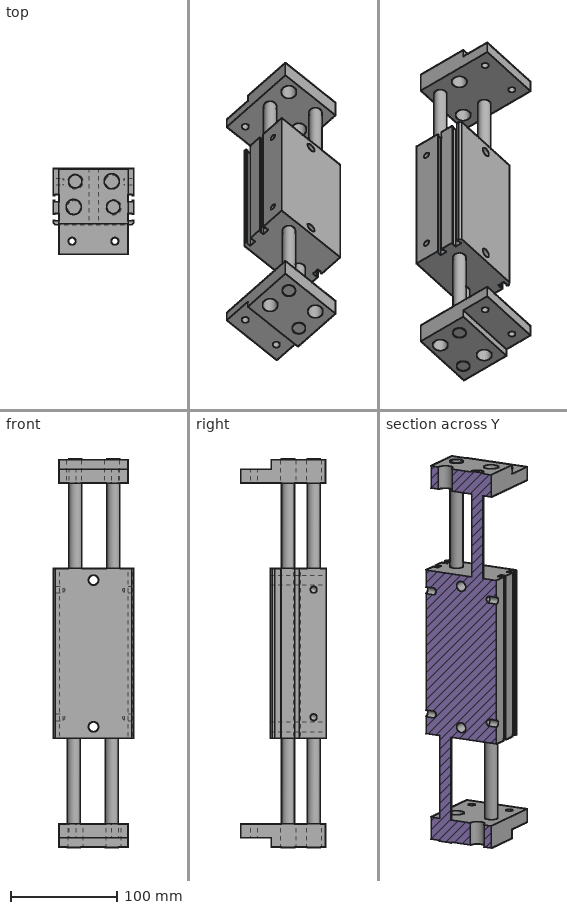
import cadquery as cq
import math

body_width = 76.0
body_depth = 53.0
body_height = 160.0
corner_chamfer = 2.2

side_slots = [(27.8, 4.5), (45.8, 5.5)]
slot_pocket_width = 6.5
slot_lip = 2.0
slot_depth = 6.0

mount_hole_diameter = 9.0
mount_hole_spacing = 138.0

side_hole_diameter = 6.2
side_hole_spacing = 120.0
side_hole_depth = 9.0
drill_point_angle = 118

plate_width = 65.0
plate_back = 0.7
block_front = 52.0
plate_front = 81.0
plate_thickness = 22
flange_thickness = 13.0
plate_hole_diameter = 6.5
plate_hole_spacing = 40.3
plate_hole_front_offset = 12.5

rod_diameter = 12.5
rod_clearance_diameter = 14.3
back_rod_y = -12.0
front_rod_y = -36.2
upper_rods = [(-17.2, back_rod_y), (18.5, front_rod_y)]
lower_rods = [(-x, y) for x, y in upper_rods]
rod_overhang = 0.7

rod_seat = 11
rod_seat_z = body_height / 2 - rod_seat

total_height = 366
rod_end_z = total_height / 2
plate_outer_z = rod_end_z - rod_overhang


def make_body():
    """Extruded body with two chamfered front corners."""
    block = cq.Workplane("XY").box(body_width, body_depth, body_height).translate((0, -body_depth / 2, 0))
    return block.faces("<Y").edges("|Z").chamfer(corner_chamfer)


def side_slot_cutter(side, distance, opening):
    """T-slot running the full body height on the side given by the sign of X."""
    outer_x = side * body_width / 2
    mouth = cq.Workplane("XY").box(2 * slot_depth, opening, body_height)
    pocket_length = slot_depth - slot_lip
    pocket = cq.Workplane("XY").box(pocket_length, slot_pocket_width, body_height)
    pocket = pocket.translate((-side * (slot_lip + pocket_length / 2), 0, 0))
    return mouth.union(pocket).translate((outer_x, -distance, 0))


def side_hole_cutter(side, z):
    """Blind hole with a conical drill point, drilled inward along X."""
    radius = side_hole_diameter / 2
    point_length = radius / math.tan(math.radians(drill_point_angle / 2))
    start = cq.Vector(side * body_width / 2, back_rod_y, z)
    inward = cq.Vector(-side, 0, 0)
    bore = cq.Solid.makeCylinder(radius, side_hole_depth, start, inward)
    point = cq.Solid.makeCone(radius, 0, point_length, start + inward * side_hole_depth, inward)
    return cq.Workplane(bore.fuse(point))


def make_upper_plate(clearance_points):
    """Stepped upper end plate with two small holes and clearance holes for the opposite rods."""
    inner_z = plate_outer_z - plate_thickness
    profile = [
        (-plate_back, inner_z),
        (-plate_front, inner_z),
        (-plate_front, inner_z + flange_thickness),
        (-block_front, inner_z + flange_thickness),
        (-block_front, plate_outer_z),
        (-plate_back, plate_outer_z),
    ]
    plate = cq.Workplane("YZ").polyline(profile).close().extrude(plate_width / 2, both=True)
    hole_y = plate_hole_front_offset - plate_front
    small_points = [(-plate_hole_spacing / 2, hole_y), (plate_hole_spacing / 2, hole_y)]
    base = cq.Workplane("XY").workplane(offset=inner_z)
    small_holes = base.pushPoints(small_points).circle(plate_hole_diameter / 2).extrude(plate_thickness)
    clearance = base.pushPoints(clearance_points).circle(rod_clearance_diameter / 2).extrude(plate_thickness)
    return plate.cut(small_holes).cut(clearance)


def make_rods(points, start_z, end_z):
    """Pair of rods along Z."""
    base = cq.Workplane("XY").workplane(offset=start_z)
    return base.pushPoints(points).circle(rod_diameter / 2).extrude(end_z - start_z)


body = make_body()
for side in (-1, 1):
    for distance, opening in side_slots:
        body = body.cut(side_slot_cutter(side, distance, opening))
    for z in (-side_hole_spacing / 2, side_hole_spacing / 2):
        body = body.cut(side_hole_cutter(side, z))

mount_holes = (
    cq.Workplane("XZ")
    .pushPoints([(0, -mount_hole_spacing / 2), (0, mount_hole_spacing / 2)])
    .circle(mount_hole_diameter / 2)
    .extrude(body_depth)
)
body = body.cut(mount_holes)

upper_plate = make_upper_plate(lower_rods)
lower_plate = make_upper_plate(upper_rods).mirror("XY")

result = (
    body.union(upper_plate)
    .union(lower_plate)
    .union(make_rods(upper_rods, rod_seat_z, rod_end_z))
    .union(make_rods(lower_rods, -rod_end_z, -rod_seat_z))
)